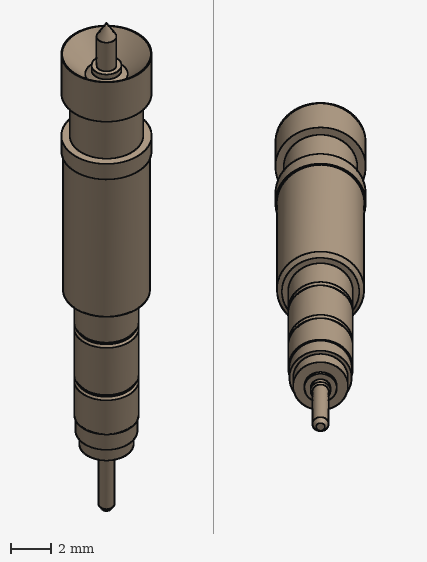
import cadquery as cq
import math


overall_length = 31.0
pin_radius = 0.5
pin_tip_angle = 60.0
pin_tip_height = pin_radius / math.tan(math.radians(pin_tip_angle / 2))
pin_shoulder_z = overall_length - pin_tip_height

head_diameter = 4.5
head_radius = head_diameter / 2
head_top_z = 29.02
head_bottom_z = 26.5
cup_rim_radius = 2.2
cup_floor_radius = 1.05
cup_depth = 1.27

boss_radius = 0.75
boss_height = 0.55
boss_flare_height = 0.25
cup_floor_z = head_top_z - cup_depth
boss_top_z = cup_floor_z + boss_height

neck_radius = 1.83
collar_radius = head_radius
collar_top_z = 23.8
collar_bottom_z = 22.82
barrel_radius = 2.17
barrel_bottom_z = 13.8
barrel_chamfer_width = 0.25
barrel_chamfer_height = 0.2

stem_radius = 1.6
groove_depth = 0.12
groove_width = 0.35
groove_floor_width = 0.1
groove_centres_z = (11.72, 8.37)
stem_bottom_z = 6.0
upper_step_radius = 1.55
upper_step_bottom_z = 5.0
lower_step_radius = 1.35
lower_step_bottom_z = 4.15

stub_disc_radius = 0.8
stub_disc_bottom_z = 3.97
stub_collar_radius = 0.5
stub_chamfer_height = 0.1
stub_bottom_z = 3.6
terminal_radius = 0.4
terminal_chamfer_width = 0.2
terminal_chamfer_height = 0.28


def groove_points(centre_z):
    """Profile points (radius, Z) of one groove in the stem, from top to bottom."""
    half_width = groove_width / 2
    half_floor = groove_floor_width / 2
    floor_radius = stem_radius - groove_depth
    return [
        (stem_radius, centre_z + half_width),
        (floor_radius, centre_z + half_floor),
        (floor_radius, centre_z - half_floor),
        (stem_radius, centre_z - half_width),
    ]


def tip_and_cup_points():
    """Pin, boss and cup, from the point of the pin out to the rim of the head."""
    return [
        (0, overall_length),
        (pin_radius, pin_shoulder_z),
        (pin_radius, boss_top_z),
        (boss_radius, boss_top_z),
        (boss_radius, cup_floor_z + boss_flare_height),
        (cup_floor_radius, cup_floor_z),
        (cup_rim_radius, head_top_z),
    ]


def head_to_barrel_points():
    """Outside of the head, neck, collar and barrel, from top to bottom."""
    return [
        (head_radius, head_top_z),
        (head_radius, head_bottom_z),
        (neck_radius, head_bottom_z),
        (neck_radius, collar_top_z),
        (collar_radius, collar_top_z),
        (collar_radius, collar_bottom_z),
        (barrel_radius, collar_bottom_z),
        (barrel_radius, barrel_bottom_z + barrel_chamfer_height),
        (barrel_radius - barrel_chamfer_width, barrel_bottom_z),
    ]


def stem_points():
    """Outside of the grooved stem and its two end steps, from top to bottom."""
    points = [(stem_radius, barrel_bottom_z)]
    for centre_z in groove_centres_z:
        points += groove_points(centre_z)
    points += [
        (stem_radius, stem_bottom_z),
        (upper_step_radius, stem_bottom_z),
        (upper_step_radius, upper_step_bottom_z),
        (lower_step_radius, upper_step_bottom_z),
        (lower_step_radius, lower_step_bottom_z),
    ]
    return points


def terminal_points():
    """Stub and chamfered terminal pin, down to the centre of the lower end."""
    return [
        (stub_disc_radius, lower_step_bottom_z),
        (stub_disc_radius, stub_disc_bottom_z),
        (stub_collar_radius, stub_disc_bottom_z),
        (stub_collar_radius, stub_bottom_z + stub_chamfer_height),
        (terminal_radius, stub_bottom_z),
        (terminal_radius, terminal_chamfer_height),
        (terminal_radius - terminal_chamfer_width, 0),
        (0, 0),
    ]


profile = tip_and_cup_points() + head_to_barrel_points() + stem_points() + terminal_points()

result = cq.Workplane("XZ").polyline(profile).close().revolve(360, (0, 0), (0, 1))